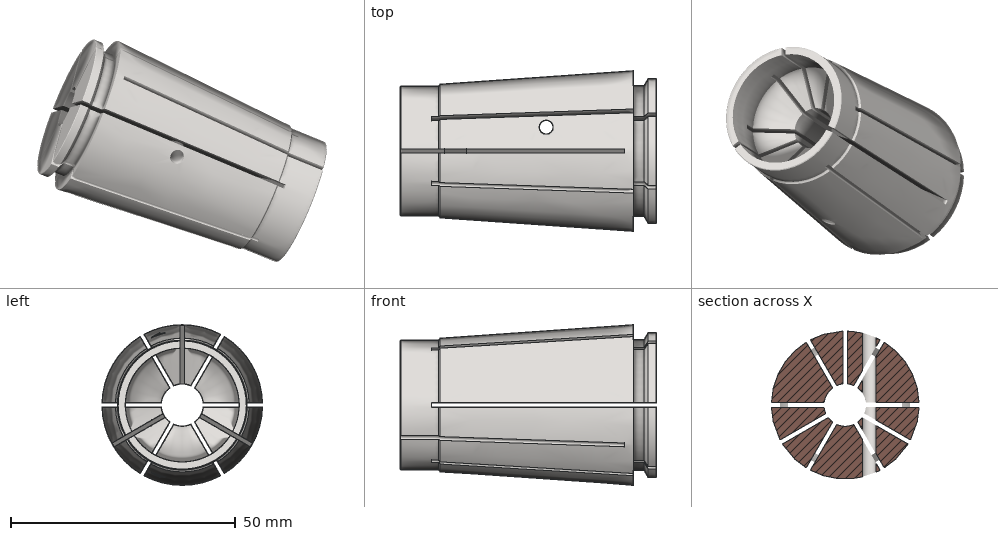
import cadquery as cq
import math

total_length = 57.0

nose_radius = 14.4
nose_chamfer = 0.15
nose_length = 8.55

taper_start = 8.9
taper_small_radius = 14.9
taper_large_diameter = 35.75
taper_large_radius = taper_large_diameter / 2
taper_end = 51.85

neck_radius = 14.55
neck_end = 54.25
flange_start = 55.2
flange_radius = 16.15
flange_chamfer = 0.1

counterbore_radius = 12.65
counterbore_depth = 9.9
drill_point_angle = 118.0
bore_radius = 4.7

slot_width = 0.95
rear_slot_start = 7.0
rear_slot_angles = [0, 60, 120, 180, 240, 300]
front_slot_end = 49.95
front_slot_angles = [90, 210, 330]
slot_reach = taper_large_radius + 0.55

cross_hole_diameter = 3.0
cross_hole_x = 32.5
cross_hole_y = 5.3


def make_body():
    """Revolve the half section, bore included, about the X axis."""
    cone_length = (counterbore_radius - bore_radius) / math.tan(math.radians(drill_point_angle / 2))
    section = [
        (0, counterbore_radius),
        (0, nose_radius - nose_chamfer),
        (nose_chamfer, nose_radius),
        (nose_length, nose_radius),
        (taper_start, taper_small_radius),
        (taper_end, taper_large_radius),
        (taper_end, neck_radius),
        (neck_end, neck_radius),
        (flange_start, flange_radius),
        (total_length - flange_chamfer, flange_radius),
        (total_length, flange_radius - flange_chamfer),
        (total_length, bore_radius),
        (counterbore_depth + cone_length, bore_radius),
        (counterbore_depth, counterbore_radius),
    ]
    return cq.Workplane("XY").polyline(section).close().revolve(360, (0, 0, 0), (1, 0, 0))


def make_slot(start, end, angle):
    """Cutter from the axis outward; the angle is measured from +Y towards +Z."""
    return (
        cq.Workplane("XY")
        .box(end - start, slot_reach, slot_width, centered=(False, False, True))
        .translate((start, 0, 0))
        .rotate((0, 0, 0), (1, 0, 0), angle)
    )


def make_cross_hole():
    return (
        cq.Workplane("XY")
        .center(cross_hole_x, cross_hole_y)
        .circle(cross_hole_diameter / 2)
        .extrude(slot_reach, both=True)
    )


result = make_body()
for slot_angle in rear_slot_angles:
    result = result.cut(make_slot(rear_slot_start, total_length, slot_angle))
for slot_angle in front_slot_angles:
    result = result.cut(make_slot(0, front_slot_end, slot_angle))
result = result.cut(make_cross_hole())